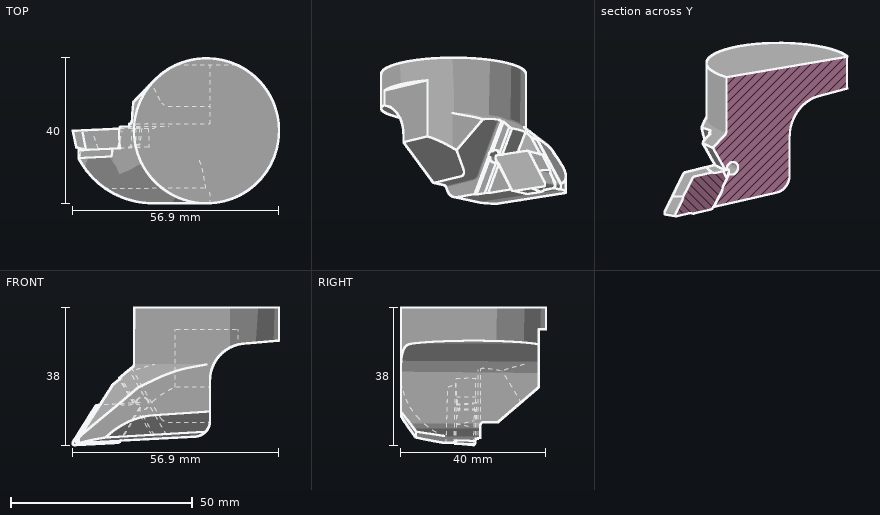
import cadquery as cq
import math


BIG = 80.0

shank_radius = 20.0
flare_start_z = -16.15
flare_start_fillet = 0.9
knee_radius = 27.2
knee_z = -22.05
knee_fillet = 3.4
flare_end_radius = 38.7
flare_end_z = -40.0

outline_arc_radius = 23.2
outline_arc_start_x = -14.7
tangent_angle = 44.0

back_x = 1.0
back_fillet = 10.0
back_bottom_fillet = 4.5
shank_edge_z = -9.2
back_slope = 5.0
back_bottom_z = -35.45

flat_y = 18.04
flat_top_z = -6.1
slant_top_z = -22.0
slant_bottom_y = 6.7
slant_bottom_z = -31.7

acute_angle = 55.0
insert_height = 10.8
insert_depth = 5.45
insert_relief = 5.0
insert_pitch = 3.0
insert_yaw = 2.7
nose_radius = 0.6
obtuse_radius = 1.0
nose_corner = (-37.39, 0.0, -38.06)
nose_bevel_length = 4.0
nose_bevel_depth = 1.0
pad_start_depth = 0.7
pad_start = 6.2
pad_ramp = 18.0

body_inset = 0.5
body_nose_radius = 1.0
flank_length = 19.0
flank_draw = 0.6
flank_relief = 8.0
flank_relief_start = 7.6
flank_depth = 30.0
seat_clearance = 6.0
seat_wall_overlap = 1.0
corner_relief_diameter = 3.5
corner_relief_inset = 0.6
wall_slope = 60.0
seat_wall_top = (-24.0, -19.8)
step_wall_top = (-21.4, -17.2)
gullet_wall_top = (-20.3, -17.3)
seat_bevel_y = 0.6
step_floor_y = 1.2
seat_bevel_angle = 45.0
gullet_floor_y = 1.93
gullet_floor_fillet = 0.8
gullet_corner_fillet = 3.0

chamfer_height = 5.4
chamfer_width = 4.2
chamfer_top_z = -28.75

diagonal_angle = acute_angle / 2
half_acute = math.radians(diagonal_angle)
half_diagonal = insert_height / (2 * math.sin(half_acute))
relief_tan = math.tan(math.radians(insert_relief))

upright = cq.Plane(origin=nose_corner, xDir=(1, 0, 0), normal=(0, -1, 0))
rake_plane = upright.rotated((0, insert_yaw, 0)).rotated((0, 0, insert_pitch))


def rake_workplane(depth=0.0):
    return cq.Workplane(rake_plane).workplane(offset=depth)


def along(start, angle, distance):
    """Point at a distance from start in the direction of angle (degrees)."""
    turn = math.radians(angle)
    return (start[0] + distance * math.cos(turn), start[1] + distance * math.sin(turn))


def to_rake(x, z):
    """Rake-face coordinates of a point given by X and Z."""
    local = rake_plane.toLocalCoords(cq.Vector(x, nose_corner[1], z))
    return (local.x, local.y)


def rhombus(near_reach=0.0, far_reach=2 * half_diagonal, half_angle=half_acute):
    """Rhombus on the insert's long diagonal: corners given by their distance from the nose corner."""
    middle = along((0, 0), diagonal_angle, (near_reach + far_reach) / 2)
    half_width = (far_reach - near_reach) / 2 * math.tan(half_angle)
    return [
        along((0, 0), diagonal_angle, near_reach),
        along(middle, diagonal_angle - 90, half_width),
        along((0, 0), diagonal_angle, far_reach),
        along(middle, diagonal_angle + 90, half_width),
    ]


def slanted_edge(corner, inward_angle, corner_angle, depth):
    """Selector for the relieved edge that runs back from a corner of the rake face."""
    drift = depth * relief_tan / math.sin(math.radians(corner_angle / 2))
    middle = along(corner, inward_angle, drift / 2)
    point = rake_plane.toWorldCoords((*middle, depth / 2))
    return cq.selectors.NearestToPointSelector(point.toTuple())


def make_blank():
    """Rhombic plate with relieved sides and rounded corners."""
    corners = rhombus()
    blank = rake_workplane().polyline(corners).close().extrude(insert_depth, taper=insert_relief)
    obtuse_angle = 180 - acute_angle
    kinds = [(acute_angle, nose_radius), (obtuse_angle, obtuse_radius)] * 2
    for turn, (corner, (corner_angle, radius)) in enumerate(zip(corners, kinds)):
        inward_angle = diagonal_angle + 90 * turn
        edge = slanted_edge(corner, inward_angle, corner_angle, insert_depth)
        blank = blank.edges(edge).fillet(radius)
    return blank


def make_pads():
    """Square seating pads on the relieved sides, ramping out of them towards the obtuse corners."""
    pad_depth = insert_depth - pad_start_depth
    inset_reach = pad_start_depth * relief_tan / math.sin(half_acute)
    corners = rhombus(inset_reach, 2 * half_diagonal - inset_reach)
    pads = rake_workplane(pad_start_depth).polyline(corners).close().extrude(pad_depth)
    for corner in (corners[1], corners[3]):
        middle = rake_plane.toWorldCoords((*corner, pad_start_depth + pad_depth / 2))
        pads = pads.edges(cq.selectors.NearestToPointSelector(middle.toTuple())).fillet(obtuse_radius)

    ramp_angle = half_acute + math.radians(pad_ramp)
    ramp_reach = pad_start * (math.cos(half_acute) - math.sin(half_acute) / math.tan(ramp_angle))
    ramp_outline = rhombus(ramp_reach, 2 * half_diagonal - ramp_reach, ramp_angle)
    ramps = rake_workplane(pad_start_depth).polyline(ramp_outline).close()
    return pads.intersect(ramps.extrude(pad_depth, taper=insert_relief))


def make_bevel(corner, inward_angle):
    """Wedge that trims the floor side of an acute corner."""
    origin = rake_plane.toWorldCoords(corner)
    inward = rake_plane.toWorldCoords(along(corner, inward_angle, 1)) - origin
    plane = cq.Plane(origin=origin, xDir=inward, normal=inward.cross(rake_plane.zDir))
    floor_corner = insert_depth * relief_tan / math.sin(half_acute)
    bevel_top = insert_depth - nose_bevel_depth
    outline = [
        (floor_corner, bevel_top),
        (floor_corner + nose_bevel_length, insert_depth),
        (floor_corner + nose_bevel_length, 2 * insert_depth),
        (-insert_depth, 2 * insert_depth),
        (-insert_depth, bevel_top),
    ]
    return cq.Workplane(plane).polyline(outline).close().extrude(insert_height, both=True)


def make_insert():
    near, _, far, _ = rhombus()
    insert = make_blank().union(make_pads())
    insert = insert.cut(make_bevel(near, diagonal_angle))
    return insert.cut(make_bevel(far, diagonal_angle + 180))


def ring_edge(height):
    """Selector for the circular edge of a revolved solid at the given Z."""
    margin = 0.01
    low = (-BIG, -BIG, height - margin)
    high = (BIG, BIG, height + margin)
    return cq.selectors.BoxSelector(low, high, boundingbox=True)


def make_flare():
    """Shank that flares out in two cones."""
    profile = [
        (0, 0),
        (shank_radius, 0),
        (shank_radius, flare_start_z),
        (knee_radius, knee_z),
        (flare_end_radius, flare_end_z),
        (0, flare_end_z),
    ]
    flare = cq.Workplane("XZ").polyline(profile).close().revolve(360, (0, 0), (0, 1))
    flare = flare.edges(ring_edge(flare_start_z)).fillet(flare_start_fillet)
    return flare.edges(ring_edge(knee_z)).fillet(knee_fillet)


def make_head_outline():
    """Plan shape of the flared side: an arc on the -Y side and a tangent of the shank on the +Y side."""
    arc_centre_y = outline_arc_radius - shank_radius
    arc_end_x = outline_arc_start_x - outline_arc_radius
    arc_middle = along((outline_arc_start_x, arc_centre_y), 225, outline_arc_radius)
    touch = along((0, 0), 180 - tangent_angle, shank_radius)
    tangent_run = (touch[1] - arc_centre_y) / math.cos(math.radians(tangent_angle))
    return (
        cq.Workplane("XY")
        .moveTo(0, -shank_radius)
        .lineTo(outline_arc_start_x, -shank_radius)
        .threePointArc(arc_middle, (arc_end_x, arc_centre_y))
        .lineTo(*along(touch, 270 - tangent_angle, tangent_run))
        .lineTo(*touch)
        .lineTo(0, 0)
        .close()
        .extrude(flare_end_z)
    )


def make_back_profile():
    """Side profile that keeps the shank end and relieves the head on the +X side."""
    step_z = shank_edge_z - (shank_radius - back_x) * math.tan(math.radians(back_slope))
    bottom_run_z = back_bottom_z - (BIG + back_x) * math.tan(math.radians(insert_pitch))
    run_out_z = shank_edge_z + (BIG - shank_radius) * math.tan(math.radians(back_slope))
    outline = [
        (-BIG, BIG),
        (BIG, BIG),
        (BIG, run_out_z),
        (back_x, step_z),
        (back_x, back_bottom_z),
        (-BIG, bottom_run_z),
    ]
    profile = cq.Workplane("XZ").polyline(outline).close().extrude(BIG, both=True)
    step_edge = cq.selectors.NearestToPointSelector((back_x, 0, step_z))
    bottom_edge = cq.selectors.NearestToPointSelector((back_x, 0, back_bottom_z))
    return profile.edges(step_edge).fillet(back_fillet).edges(bottom_edge).fillet(back_bottom_fillet)


def make_flanks():
    """Body flanks that follow the insert edges; the lower one falls back deeper in the body."""
    corner = along((0, 0), diagonal_angle, body_inset / math.sin(half_acute))
    flank_angle = acute_angle - flank_draw
    flank_end = along(corner, flank_angle, flank_length)
    outline = [
        corner,
        along(corner, 0, BIG),
        (BIG, BIG),
        (-BIG, BIG),
        (-BIG, flank_end[1]),
        flank_end,
    ]
    straight = rake_workplane(flank_relief_start).polyline(outline).close().extrude(-BIG)
    middle = rake_plane.toWorldCoords((*corner, flank_relief_start - BIG / 2)).toTuple()
    straight = straight.edges(cq.selectors.NearestToPointSelector(middle)).fillet(body_nose_radius)
    relieved_outline = [(-BIG, corner[1]), (BIG, corner[1]), (BIG, BIG), (-BIG, BIG)]
    relieved = rake_workplane(flank_relief_start).polyline(relieved_outline).close()
    return straight.union(relieved.extrude(flank_depth, taper=flank_relief))


def make_lower_chamfer():
    """Wedge along the lower -Y edge, parallel to the lower cutting edge."""
    plane = cq.Plane(origin=(0, -shank_radius, chamfer_top_z), xDir=(0, 1, 0), normal=(1, 0, 0))
    plane = plane.rotated((0, insert_pitch, 0))
    outline = [
        (-chamfer_width, chamfer_height),
        (2 * chamfer_width, -2 * chamfer_height),
        (-chamfer_width, -2 * chamfer_height),
    ]
    return cq.Workplane(plane).polyline(outline).close().extrude(BIG, both=True)


def make_flat():
    """Flat on the +Y side below the shank end."""
    block = cq.Workplane("XY").box(2 * BIG, BIG, BIG, centered=(True, False, False))
    return block.translate((0, flat_y, flat_top_z - BIG))


def make_slant():
    """Slanted relief between the +Y flat and the bottom of the gullet wall."""
    outline = [
        (flat_y, slant_top_z),
        (slant_bottom_y, slant_bottom_z),
        (slant_bottom_y, -BIG),
        (flat_y, -BIG),
    ]
    return cq.Workplane("YZ").polyline(outline).close().extrude(BIG, both=True)


def make_gullet():
    """Chip gullet: a wall leaning towards +X that turns level at its foot."""
    top = along(gullet_wall_top, 180 - wall_slope, BIG / 4)
    foot_distance = (gullet_wall_top[1] - slant_bottom_z) / math.sin(math.radians(wall_slope))
    foot = along(gullet_wall_top, -wall_slope, foot_distance)
    outline = [top, foot, (BIG, slant_bottom_z), (BIG, -BIG), (-BIG, -BIG), (-BIG, top[1])]
    gullet = cq.Workplane("XZ", origin=(0, gullet_floor_y, 0)).polyline(outline).close().extrude(-BIG)
    foot_point = (foot[0], gullet_floor_y + BIG / 2, foot[1])
    gullet = gullet.edges(cq.selectors.NearestToPointSelector(foot_point)).fillet(gullet_corner_fillet)
    wall_point = along(gullet_wall_top, -wall_slope, foot_distance / 2)
    floor_edge = cq.selectors.NearestToPointSelector((wall_point[0], gullet_floor_y, wall_point[1]))
    return gullet.edges(floor_edge).fillet(gullet_floor_fillet)


def open_side(wall_top):
    """Region on the -X side of a wall, in X and Z."""
    top = along(wall_top, 180 - wall_slope, BIG / 4)
    bottom = along(wall_top, -wall_slope, BIG / 2)
    return [top, bottom, (-BIG, bottom[1]), (-BIG, top[1])]


def make_steps():
    """Two shallow steps in front of the insert; the wall of the lower one is bevelled."""
    upper = cq.Workplane("XZ", origin=(0, step_floor_y, 0)).polyline(open_side(step_wall_top))
    upper = upper.close().extrude(-BIG)
    lower = cq.Workplane("XZ", origin=(0, seat_bevel_y, 0)).polyline(open_side(seat_wall_top))
    lower = lower.close().extrude(seat_bevel_y - step_floor_y, taper=-seat_bevel_angle)
    return upper.union(lower)


def make_seat():
    """Open pocket for the insert, with the wall above it and the corner relief hole."""
    outline = rhombus(near_reach=-seat_clearance)
    far = outline[2]
    seat = rake_workplane().polyline(outline).close().extrude(insert_depth, taper=insert_relief)
    opening = rake_workplane().polyline(outline).close().extrude(-insert_depth)

    start = to_rake(*seat_wall_top)
    slope = -wall_slope - insert_pitch
    top = along(start, slope + 180, BIG / 4)
    bottom_distance = (start[1] - insert_height + seat_wall_overlap) / math.sin(math.radians(-slope))
    bottom = along(start, slope, bottom_distance)
    wall_outline = [top, bottom, (-BIG, bottom[1]), (-BIG, top[1])]
    upper = rake_workplane(insert_depth).polyline(wall_outline).close().extrude(-BIG / 2)

    hole_centre = along(far, 180 + diagonal_angle, corner_relief_inset)
    relief = rake_workplane(insert_depth).moveTo(*hole_centre)
    relief = relief.circle(corner_relief_diameter / 2).extrude(-2 * insert_depth)
    return seat.union(opening).union(upper).union(relief)


def make_body(insert):
    shank = cq.Workplane("XY").circle(shank_radius).extrude(flare_end_z)
    body = shank.union(make_flare().intersect(make_head_outline()))
    body = body.intersect(make_back_profile())
    body = body.intersect(make_flanks())
    body = body.cut(make_lower_chamfer())
    body = body.cut(make_flat()).cut(make_slant())
    body = body.cut(make_gullet()).cut(make_steps()).cut(make_seat())
    return body.cut(insert)


insert = make_insert()
body = make_body(insert)
result = cq.Compound.makeCompound([body.solids().val(), insert.solids().val()])